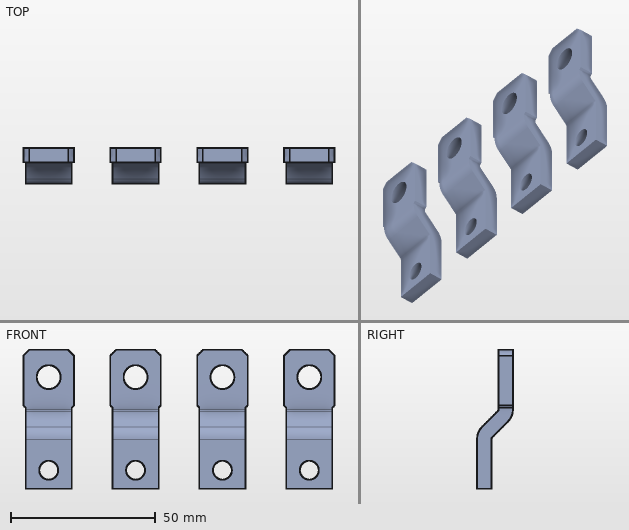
import cadquery as cq
import math

strap_count = 4
row_length = 107.5

strap_height = 48.0
strap_depth = 12.5
thickness = 5.0
head_width = 17.5
foot_width = 16.0
pitch = (row_length - head_width) / (strap_count - 1)

head_length = 20.0
corner_chamfer = 2.0
shoulder = (head_width - foot_width) / 2

bend_angle = math.radians(45)
inner_radius = 1.0
outer_radius = inner_radius + thickness
upper_bend_drop = 21.0
upper_bend_z = strap_height - upper_bend_drop
head_front_y = strap_depth - thickness
bend_miter = thickness * math.tan(bend_angle / 2)
foot_front_bend_z = upper_bend_z - head_front_y / math.tan(bend_angle)

head_hole_diameter = 8.2
head_hole_drop = 9.5
foot_hole_diameter = 6.5
foot_hole_z = 6.5


def bent_profile():
    """Side profile of the strap, extruded to the full head width."""
    sharp = (
        cq.Workplane("YZ")
        .polyline([
            (0, 0),
            (0, foot_front_bend_z),
            (head_front_y, upper_bend_z),
            (head_front_y, strap_height),
            (strap_depth, strap_height),
            (strap_depth, upper_bend_z - bend_miter),
            (thickness, foot_front_bend_z - bend_miter),
            (thickness, 0),
        ])
        .close()
        .extrude(head_width / 2, both=True)
    )
    outer_corners = [(0, foot_front_bend_z), (strap_depth, upper_bend_z - bend_miter)]
    inner_corners = [(head_front_y, upper_bend_z), (thickness, foot_front_bend_z - bend_miter)]
    rounded = fillet_bends(sharp, outer_corners, outer_radius)
    return fillet_bends(rounded, inner_corners, inner_radius)


def fillet_bends(body, corners, radius):
    """Round the bend edges that run along X through the given (y, z) corners."""
    for y, z in corners:
        body = body.edges(cq.NearestToPointSelector((0, y, z))).fillet(radius)
    return body


def front_outline():
    """Wide chamfered head on a narrower foot, extruded through the full depth."""
    half_head = head_width / 2
    half_foot = foot_width / 2
    head_bottom_z = strap_height - head_length
    return (
        cq.Workplane("XZ")
        .polyline([
            (0, 0),
            (half_foot, 0),
            (half_foot, head_bottom_z),
            (half_head, head_bottom_z + shoulder),
            (half_head, strap_height - corner_chamfer),
            (half_head - corner_chamfer, strap_height),
            (0, strap_height),
        ])
        .mirrorY()
        .extrude(-strap_depth)
    )


def through_hole(z, diameter):
    """Cutter along Y, centred across the strap at height z."""
    return cq.Workplane("XZ").center(0, z).circle(diameter / 2).extrude(-strap_depth)


def make_strap(center_x):
    """One offset strap centred at center_x."""
    return (
        bent_profile()
        .intersect(front_outline())
        .cut(through_hole(strap_height - head_hole_drop, head_hole_diameter))
        .cut(through_hole(foot_hole_z, foot_hole_diameter))
        .translate((center_x, 0, 0))
    )


first_strap_x = -pitch * (strap_count - 1) / 2
straps = [make_strap(first_strap_x + i * pitch) for i in range(strap_count)]

result = cq.Compound.makeCompound([strap.solids().val() for strap in straps])